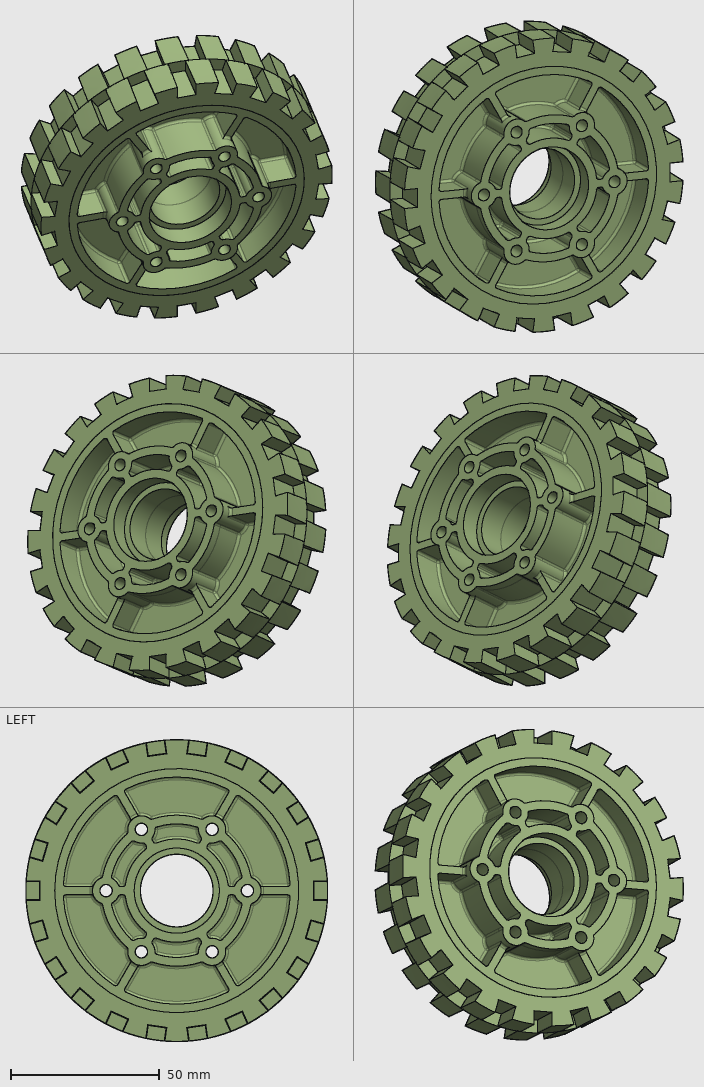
import cadquery as cq

OUTER_RADIUS = 50.8
TYRE_WIDTH = 12.7
GROOVE_COUNT = 22
GROOVE_WIDTH = 6.5
GROOVE_DEPTH = 4.8
GROOVE_DRAFT = 1.0
GROOVE_PITCH = 360 / GROOVE_COUNT

WHEEL_RADIUS = 41.0
RIM_INNER_RADIUS = 38.2
HUB_HALF_LENGTH = 17.5
WEB_HALF_THICKNESS = 1.2
BORE_RADIUS = 12.2
BEARING_RADIUS = 14.3
BEARING_DEPTH = 7.1
HUB_RADIUS = 17.4
RING_INNER_RADIUS = 22.5
RING_OUTER_RADIUS = 25.4
SPOKE_COUNT = 6
SPOKE_WIDTH = 2.7
BOSS_CIRCLE_RADIUS = 23.8
BOSS_RADIUS = 4.6
BOLT_HOLE_RADIUS = 2.0
FILLET_RADIUS = 0.9

CLEARANCE = 1.0
SPOKE_ANGLES = [i * 360 / SPOKE_COUNT for i in range(SPOKE_COUNT)]


def disc(radius, x_start, x_end):
    """Round disc on the X axis."""
    return cq.Workplane("YZ").workplane(offset=x_start).circle(radius).extrude(x_end - x_start)


def boss_pattern(radius, x_start, x_end):
    """One cylinder on each boss axis."""
    return (
        cq.Workplane("YZ")
        .workplane(offset=x_start)
        .polarArray(BOSS_CIRCLE_RADIUS, 0, 360, SPOKE_COUNT)
        .circle(radius)
        .extrude(x_end - x_start)
    )


def radial_rib(angle, x_start, x_end):
    """Straight rib from the axis out to the tyre seat."""
    return (
        cq.Workplane("YZ")
        .workplane(offset=x_start)
        .center(WHEEL_RADIUS / 2, 0)
        .rect(WHEEL_RADIUS, SPOKE_WIDTH)
        .extrude(x_end - x_start)
        .rotate((0, 0, 0), (1, 0, 0), angle)
    )


def pocket_ring(inner_radius, outer_radius):
    """Ring of pocket volumes on the +X side, rounded at the corners and the floor."""
    floor = WEB_HALF_THICKNESS
    top = HUB_HALF_LENGTH + CLEARANCE
    ring = disc(outer_radius, floor, top).cut(disc(inner_radius, floor, top))
    ring = ring.cut(boss_pattern(BOSS_RADIUS, floor, top))
    for angle in SPOKE_ANGLES:
        ring = ring.cut(radial_rib(angle, floor, top))
    pocket = cq.Workplane(ring.solids().vals()[0])
    pocket = pocket.edges("|X or <X").fillet(FILLET_RADIUS)
    return [pocket.rotate((0, 0, 0), (1, 0, 0), angle) for angle in SPOKE_ANGLES]


def rim_relief():
    """Volume outside the bossed ring that lowers the spokes and rim to the tyre face."""
    floor = TYRE_WIDTH
    top = HUB_HALF_LENGTH + CLEARANCE
    bossed_ring = disc(RING_OUTER_RADIUS, floor, top).union(boss_pattern(BOSS_RADIUS, floor, top))
    relief = disc(WHEEL_RADIUS + CLEARANCE, floor, top).cut(bossed_ring)
    outline = cq.selectors.BoxSelector(
        (floor - CLEARANCE, -WHEEL_RADIUS, -WHEEL_RADIUS),
        (top + CLEARANCE, WHEEL_RADIUS, WHEEL_RADIUS),
        boundingbox=True,
    )
    return relief.edges("|X or <X").edges(outline).fillet(FILLET_RADIUS)


def make_wheel():
    """Wheel built as its +X half, then mirrored about the middle plane."""
    half = disc(WHEEL_RADIUS, 0, HUB_HALF_LENGTH).cut(rim_relief())
    pockets = pocket_ring(RING_OUTER_RADIUS, RIM_INNER_RADIUS) + pocket_ring(HUB_RADIUS, RING_INNER_RADIUS)
    for pocket in pockets:
        half = half.cut(pocket)
    half = half.cut(disc(BEARING_RADIUS, HUB_HALF_LENGTH - BEARING_DEPTH, HUB_HALF_LENGTH))
    half = half.cut(disc(BORE_RADIUS, 0, HUB_HALF_LENGTH))
    half = half.cut(boss_pattern(BOLT_HOLE_RADIUS, 0, HUB_HALF_LENGTH))
    return half.union(half.mirror("YZ"))


def make_tyre_half():
    """Tyre half on the -X side, with a groove at each end of the Y axis."""
    tyre = disc(OUTER_RADIUS, -TYRE_WIDTH, 0).cut(disc(WHEEL_RADIUS, -TYRE_WIDTH, 0))
    cutter_height = 2 * GROOVE_DEPTH
    groove = (
        cq.Workplane("YZ")
        .workplane(offset=-TYRE_WIDTH)
        .center(OUTER_RADIUS - GROOVE_DEPTH + cutter_height / 2, 0)
        .rect(cutter_height, GROOVE_WIDTH)
        .extrude(TYRE_WIDTH, taper=GROOVE_DRAFT)
    )
    for i in range(GROOVE_COUNT):
        tyre = tyre.cut(groove.rotate((0, 0, 0), (1, 0, 0), i * GROOVE_PITCH))
    return tyre


wheel = make_wheel()
left_tyre = make_tyre_half()
right_tyre = left_tyre.mirror("YZ").rotate((0, 0, 0), (1, 0, 0), GROOVE_PITCH / 2)

result = cq.Compound.makeCompound([wheel.val(), left_tyre.val(), right_tyre.val()])